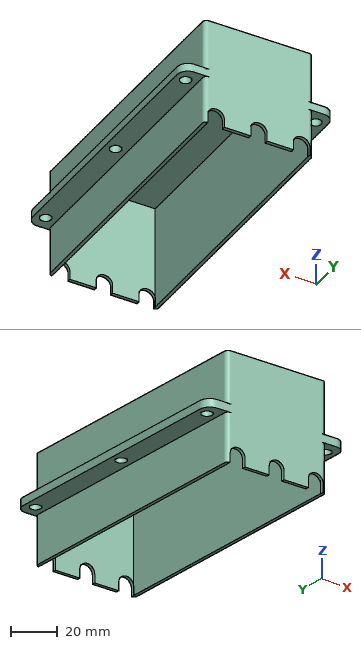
import cadquery as cq

length = 134.0
flange_width = 74.5
height = 52.5

box_width = 53.3
wall = 1.7
corner_radius = 2.0

flange_bottom = 23.5
flange_thickness = 4.0
flange_radius = 5.2

hole_diameter = 5.4
hole_x = 32.0
hole_y = 59.9

notch_width = 8.0
notch_height = 8.0
notch_spacing = 21.0


def make_box():
    """Outer box with rounded vertical edges."""
    block = cq.Workplane("XY").box(box_width, length, height, centered=(True, True, False))
    return block.edges("|Z").fillet(corner_radius)


def make_flange():
    """Rounded flange plate with its screw holes."""
    plate = cq.Workplane("XY").box(
        flange_width, length, flange_thickness, centered=(True, True, False)
    )
    plate = plate.edges("|Z").fillet(flange_radius)
    hole_centers = [(x, y) for x in (-hole_x, hole_x) for y in (-hole_y, 0, hole_y)]
    plate = plate.faces(">Z").workplane(origin=(0, 0, 0)).pushPoints(hole_centers).hole(hole_diameter)
    return plate.translate((0, 0, flange_bottom))


def make_cavity():
    """Interior space below the roof, with square corners."""
    return cq.Workplane("XY").box(
        box_width - 2 * wall,
        length - 2 * wall,
        height - wall,
        centered=(True, True, False),
    )


def make_notch(x, inner_y):
    """Notch through one end wall, starting at inner_y and running one wall toward +Y."""
    radius = notch_width / 2
    spring_height = notch_height - radius
    return (
        cq.Workplane("XZ", origin=(x, inner_y, 0))
        .moveTo(-radius, 0)
        .lineTo(-radius, spring_height)
        .threePointArc((0, notch_height), (radius, spring_height))
        .lineTo(radius, 0)
        .close()
        .extrude(-wall)
    )


result = make_box().union(make_flange()).cut(make_cavity())

for wall_y in (-length / 2, length / 2 - wall):
    for notch_x in (-notch_spacing, 0, notch_spacing):
        result = result.cut(make_notch(notch_x, wall_y))